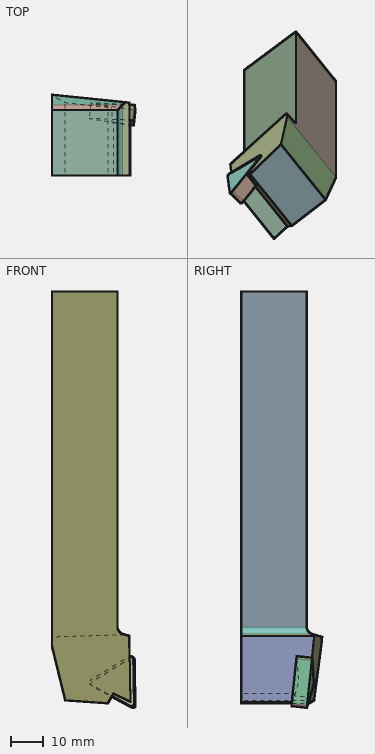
import cadquery as cq
import math


shank_size = 19.9
tip_x = 25.37
tip_depth = 126.35
head_reach_y = 24.58

inscribed_diameter = 9.525
insert_thickness = 4.76
insert_rise = 0.2
nose_radius = 0.8
rake_angle = 6.0
lead_angle = 1.0

shoulder_angle = 17.0
shoulder_radius = 2.2
shoulder_depth = 103.4
head_x = 23.47
bevel_start_depth = 107.75
bevel_foot = (4.0, -124.1)
heel_corner = (17.0, -125.0)
notch_corner = (18.65, -122.0)
seat_tip_depth = 124.5

rake_slope = math.tan(math.radians(rake_angle))
lead_slope = math.tan(math.radians(lead_angle))
shoulder_slope = math.tan(math.radians(shoulder_angle))


def rim_depth(reach):
    """Depth of the outer rim of a shoulder that extends to the given reach."""
    return shoulder_depth + (reach - shank_size) * shoulder_slope


def half_profile(plane, reach, lower_points):
    """Outline of shank and head: shank edge, blended shoulder, then the given points."""
    turn = math.radians(90 - shoulder_angle)
    tangent_length = shoulder_radius * math.tan(turn / 2)
    arc_start = (shank_size, -shoulder_depth + tangent_length)
    arc_centre = (shank_size + shoulder_radius, arc_start[1])
    arc_middle = (
        arc_centre[0] - shoulder_radius * math.cos(turn / 2),
        arc_centre[1] - shoulder_radius * math.sin(turn / 2),
    )
    arc_end = (
        arc_centre[0] - shoulder_radius * math.cos(turn),
        arc_centre[1] - shoulder_radius * math.sin(turn),
    )
    outline = cq.Workplane(plane).moveTo(0, 0).lineTo(shank_size, 0).lineTo(*arc_start)
    outline = outline.threePointArc(arc_middle, arc_end).lineTo(reach, -rim_depth(reach))
    for point in lower_points:
        outline = outline.lineTo(*point)
    return outline.close()


def make_rake_plane():
    """Plane of the rake face: origin at the centre of the nose, local X along the main edge."""
    normal = cq.Vector(rake_slope, 1, -rake_slope).normalized()
    nose_x = tip_x - nose_radius * math.sqrt(1 - normal.x ** 2)
    nose_z = -tip_depth + nose_radius * math.sqrt(1 - normal.z ** 2)
    head_y = head_reach_y - rake_slope * nose_x + rake_slope * (nose_z + rim_depth(head_reach_y))
    nose_y = head_y + insert_rise
    main_edge = cq.Vector(-lead_slope, rake_slope * (lead_slope + 1), 1)
    return cq.Plane(origin=(nose_x, nose_y, nose_z), xDir=main_edge, normal=normal)


rake_plane = make_rake_plane()


def make_insert():
    """Equilateral plate with rounded noses, built down from the rake face."""
    inner_radius = inscribed_diameter / 2 - nose_radius
    nose_spacing = 2 * math.sqrt(3) * inner_radius
    third_nose = (nose_spacing / 2, -nose_spacing * math.sqrt(3) / 2)
    return (
        cq.Workplane(rake_plane)
        .polyline([(0, 0), (nose_spacing, 0), third_nose])
        .close()
        .offset2D(nose_radius)
        .extrude(-insert_thickness)
    )


def make_head_trim():
    """Block above the inclined +Y face of the head, kept clear of the shank."""
    block_size = 4 * tip_depth
    block = (
        cq.Workplane(rake_plane)
        .workplane(offset=-insert_rise * rake_plane.zDir.y)
        .rect(block_size, block_size)
        .extrude(block_size)
    )
    below_shoulder = (
        cq.Workplane("XY")
        .workplane(offset=-shoulder_depth)
        .rect(block_size, block_size)
        .extrude(-block_size)
    )
    return block.intersect(below_shoulder)


def make_holder(insert):
    """Square shank and head, trimmed to the inclined face, with a pocket for the insert."""
    seat_tip_x = head_x + lead_slope * (seat_tip_depth - rim_depth(head_x))
    front_outline = [
        (seat_tip_x, -seat_tip_depth),
        notch_corner,
        heel_corner,
        bevel_foot,
        (0, -bevel_start_depth),
    ]
    side_outline = [
        (head_reach_y, -tip_depth),
        (0, -tip_depth),
    ]
    front = half_profile("XZ", head_x, front_outline).extrude(-head_reach_y)
    side = half_profile("YZ", head_reach_y, side_outline).extrude(tip_x)
    return front.intersect(side).cut(make_head_trim()).cut(insert)


insert = make_insert()
holder = make_holder(insert)

result = cq.Compound.makeCompound([holder.val(), insert.val()])